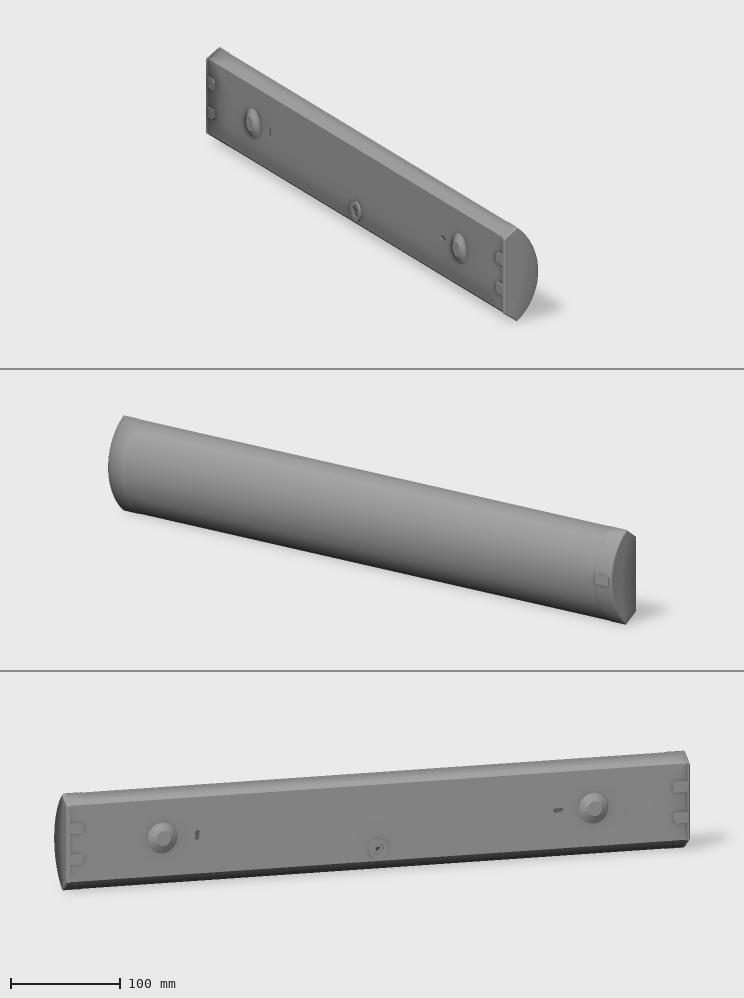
import cadquery as cq

LENGTH = 604.0
HEIGHT = 90.06
DEPTH = 39.44

BOSS_HEIGHT = 3.8
LATCH_HEIGHT = 2.0

CAP_OFFSET = 0.35
CAP_FRONT = 2.0
CAP_PLATE = 2.6
LIP_LENGTH = 20.5
LIP_TAPER = 1.8
END_CHAMFER = 1.0

CAP_BACK = DEPTH - BOSS_HEIGHT - LATCH_HEIGHT
BODY_BACK = CAP_BACK - CAP_OFFSET
RIDGE_Y = 11.8
RIDGE_HALF = HEIGHT / 2 - CAP_OFFSET
FLAT_HALF = 35.5

TAB_REACH = 16.0
TAB_INNER_Z = 9.5
TAB_OUTER_Z = 19.3
TAB_CHAMFER = 2.5

BOSS_X = 209.0
BOSS_BASE_DIAMETER = 28.5
BOSS_TOP_DIAMETER = 14.0

SLOT_X = 175.0
SLOT_WIDTH = 4.2
SLOT_LENGTH = 9.5
SLOT_DEPTH = 3.0

SCREW_Z = -24.25
SEAT_DIAMETER = 19.0
SEAT_HEIGHT = 1.5
RECESS_DIAMETER = 11.0
RECESS_DEPTH = 1.5
SCREW_HOLE_DIAMETER = 4.2
SCREW_HOLE_DEPTH = 6.0

LATCH_START = 2.0
LATCH_LENGTH = 16.0
LATCH_WIDTH = 8.0

HALF_LENGTH = LENGTH / 2


def front_plane(x, z, y=0.0):
    """Sketch plane facing -Y, with local x along +X and local y along +Z."""
    return cq.Workplane("XZ", origin=(x, y, z))


def section(x, front_y, flat_half, ridge_half, back_y):
    """Closed cross-section at x: flat front, two bevels and an arched back."""
    return (
        cq.Workplane("YZ", origin=(x, 0, 0))
        .moveTo(front_y, -flat_half)
        .lineTo(RIDGE_Y, -ridge_half)
        .threePointArc((back_y, 0), (RIDGE_Y, ridge_half))
        .lineTo(front_y, flat_half)
        .close()
    )


def body_section(x):
    return section(x, 0, FLAT_HALF, RIDGE_HALF, BODY_BACK)


def cap_section(x):
    return section(x, -CAP_FRONT, FLAT_HALF, HEIGHT / 2, CAP_BACK)


def make_left_cap():
    """End plate, tapered lip on the arched back and two clip tabs on the front."""
    taper_start = LIP_LENGTH - LIP_TAPER
    taper_wires = [
        cap_section(-HALF_LENGTH + taper_start).wire().val(),
        body_section(-HALF_LENGTH + LIP_LENGTH).wire().val(),
    ]
    sleeve = (
        cap_section(-HALF_LENGTH)
        .extrude(taper_start)
        .union(cq.Workplane(obj=cq.Solid.makeLoft(taper_wires, True)))
    )
    behind_ridge = (
        cq.Workplane("XY", origin=(-HALF_LENGTH, RIDGE_Y, 0))
        .box(LIP_LENGTH, DEPTH, HEIGHT, centered=(False, False, True))
    )
    plate = cap_section(-HALF_LENGTH).extrude(CAP_PLATE)
    cap = plate.union(sleeve.intersect(behind_ridge))
    tab = (
        front_plane(-HALF_LENGTH, 0)
        .moveTo(0, TAB_INNER_Z)
        .lineTo(TAB_REACH, TAB_INNER_Z)
        .lineTo(TAB_REACH, TAB_OUTER_Z - TAB_CHAMFER)
        .lineTo(TAB_REACH - TAB_CHAMFER, TAB_OUTER_Z)
        .lineTo(0, TAB_OUTER_Z)
        .close()
        .extrude(CAP_FRONT)
    )
    return cap.union(tab).union(tab.mirror("XY"))


def make_latch():
    """Small bump on the back of the left cap, rooted in the body."""
    return (
        cq.Workplane("XY", origin=(-HALF_LENGTH + LATCH_START, RIDGE_Y, 0))
        .box(
            LATCH_LENGTH,
            CAP_BACK + LATCH_HEIGHT - RIDGE_Y,
            LATCH_WIDTH,
            centered=(False, False, True),
        )
    )


def make_boss(x):
    """Conical boss with a flat top."""
    base_r = BOSS_BASE_DIAMETER / 2
    top_r = BOSS_TOP_DIAMETER / 2
    return (
        front_plane(x, 0)
        .circle(base_r)
        .workplane(offset=BOSS_HEIGHT)
        .circle(top_r)
        .loft(ruled=True)
    )


def make_slot(x, angle):
    """Cutter for a round-ended slot in the front face, turned by angle in degrees."""
    return front_plane(x, 0).slot2D(SLOT_LENGTH, SLOT_WIDTH, angle).extrude(-SLOT_DEPTH)


def make_screw_seat():
    return front_plane(0, SCREW_Z).circle(SEAT_DIAMETER / 2).extrude(SEAT_HEIGHT)


def make_screw_cut():
    """Cutter for the stepped recess and the screw hole below it."""
    seat_plane = front_plane(0, SCREW_Z, -SEAT_HEIGHT)
    recess = seat_plane.circle(RECESS_DIAMETER / 2).extrude(-RECESS_DEPTH)
    hole = seat_plane.circle(SCREW_HOLE_DIAMETER / 2).extrude(-SCREW_HOLE_DEPTH)
    return recess.union(hole)


body = body_section(-HALF_LENGTH).extrude(LENGTH)
left_cap = make_left_cap()
right_cap = left_cap.mirror("YZ")

result = body.union(left_cap).union(right_cap)
result = result.faces("<X or >X").chamfer(END_CHAMFER)
result = result.union(make_latch())

for boss_x in (-BOSS_X, BOSS_X):
    result = result.union(make_boss(boss_x))

result = result.union(make_screw_seat()).cut(make_screw_cut())
result = result.cut(make_slot(-SLOT_X, 90)).cut(make_slot(SLOT_X, 0))